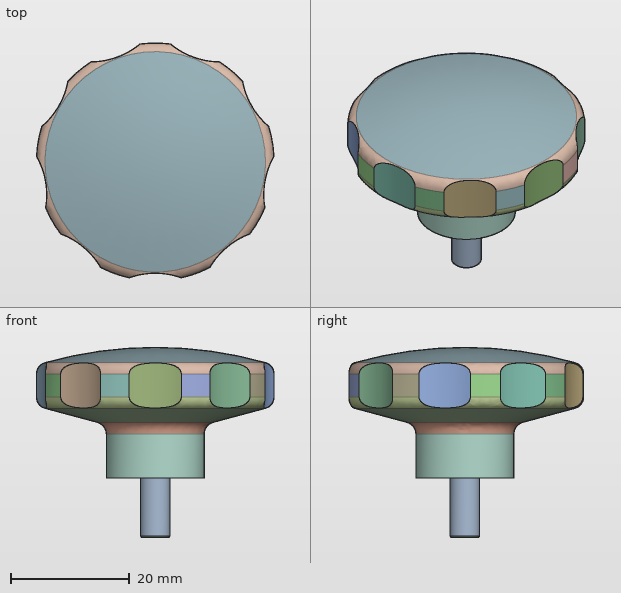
import cadquery as cq
import math

total_height = 32.0
stud_length = 10.0

stud_radius = 2.5
stud_chamfer = 0.25

hub_radius = 8.25
head_radius = 20.0
dome_height = 3.0
rim_height = 6.87
cone_angle = 15.0
corner_fillet = 2.0

flute_count = 9
flute_radius = 13.0
flute_floor_radius = 18.75
first_flute_angle = -90.0

rim_top_z = total_height - dome_height
rim_bottom_z = rim_top_z - rim_height
cone_drop = (head_radius - hub_radius) * math.tan(math.radians(cone_angle))
hub_top_z = rim_bottom_z - cone_drop

dome_radius = (head_radius**2 + dome_height**2) / (2 * dome_height)


def dome_point(radius):
    """Point of the dome profile at a given distance from the axis."""
    sag = dome_radius - math.sqrt(dome_radius**2 - radius**2)
    return (radius, total_height - sag)


def make_head():
    """Hub, conical underside, rim and domed top as one revolved body."""
    body = (
        cq.Workplane("XZ")
        .moveTo(0, stud_length)
        .lineTo(hub_radius, stud_length)
        .lineTo(hub_radius, hub_top_z)
        .lineTo(head_radius, rim_bottom_z)
        .lineTo(head_radius, rim_top_z)
        .threePointArc(dome_point(head_radius / 2), (0, total_height))
        .close()
        .revolve(360, (0, 0), (0, 1))
    )
    for corner_z in (hub_top_z, rim_bottom_z, rim_top_z):
        corner_circle = cq.selectors.NearestToPointSelector((0, 0, corner_z))
        body = body.edges(corner_circle).fillet(corner_fillet)
    return body


def make_flutes():
    """Upright cylinders that scoop the finger flutes out of the rim."""
    return (
        cq.Workplane("XY")
        .polarArray(flute_floor_radius + flute_radius, first_flute_angle, 360, flute_count)
        .circle(flute_radius)
        .extrude(total_height)
    )


def make_stud():
    """Pin below the hub with a small chamfer at its tip."""
    return (
        cq.Workplane("XY")
        .circle(stud_radius)
        .extrude(stud_length)
        .faces("<Z")
        .chamfer(stud_chamfer)
    )


result = make_head().cut(make_flutes()).union(make_stud())